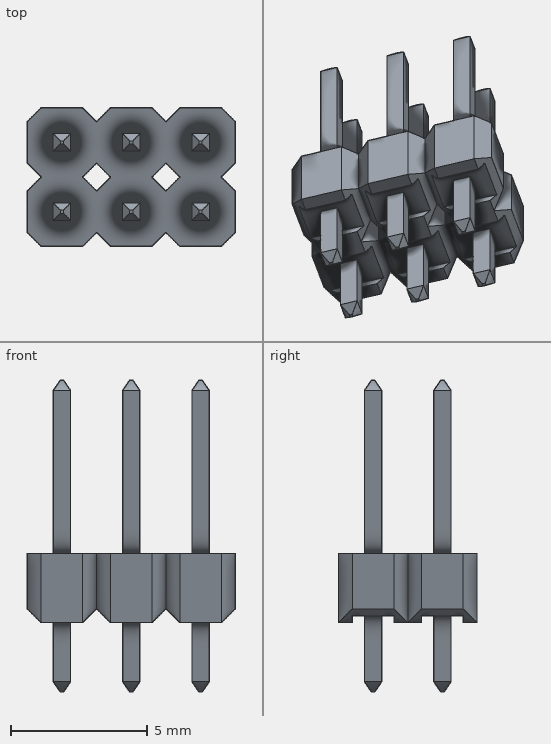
import cadquery as cq

columns = 3
rows = 2
pitch = 2.54

body_height = pitch
corner_cut = pitch / 5
slot_width = pitch - 2 * corner_cut
slot_depth = corner_cut / 2

pin_width = 0.64
pin_below = 2.54
pin_above = 6.35
tip_height = 0.38
tip_width = 0.12


def make_cell():
    """One insulator cell, centred on the Z axis with its underside at Z = 0."""
    cell = cq.Workplane("XY").box(pitch, pitch, body_height, centered=(True, True, False))
    cell = cell.edges("|Z").chamfer(corner_cut)

    half = pitch / 2
    bevel_profile = (
        cq.Workplane("XZ")
        .moveTo(-half + corner_cut, 0)
        .lineTo(half - corner_cut, 0)
        .lineTo(half, corner_cut)
        .lineTo(half, body_height)
        .lineTo(-half, body_height)
        .lineTo(-half, corner_cut)
        .close()
        .extrude(half, both=True)
    )
    cell = cell.intersect(bevel_profile)

    slot = cq.Workplane("XY").box(pitch, slot_width, slot_depth, centered=(True, True, False))
    return cell.cut(slot)


def make_tip(base_z, direction):
    """Tapered pin end starting at base_z; direction is +1 for up, -1 for down."""
    return (
        cq.Workplane("XY")
        .workplane(offset=base_z)
        .rect(pin_width, pin_width)
        .workplane(offset=direction * tip_height)
        .rect(tip_width, tip_width)
        .loft(ruled=True)
    )


def make_pin():
    """Square pin on the Z axis, tapered at both ends."""
    shank_bottom = -pin_below + tip_height
    shank_top = body_height + pin_above - tip_height
    shank = (
        cq.Workplane("XY")
        .workplane(offset=shank_bottom)
        .rect(pin_width, pin_width)
        .extrude(shank_top - shank_bottom)
    )
    return shank.union(make_tip(shank_top, 1)).union(make_tip(shank_bottom, -1))


unit = make_cell().union(make_pin())

result = cq.Workplane("XY")
for column in range(columns):
    for row in range(rows):
        x = (column - (columns - 1) / 2) * pitch
        y = (row - (rows - 1) / 2) * pitch
        result = result.union(unit.translate((x, y, 0)))